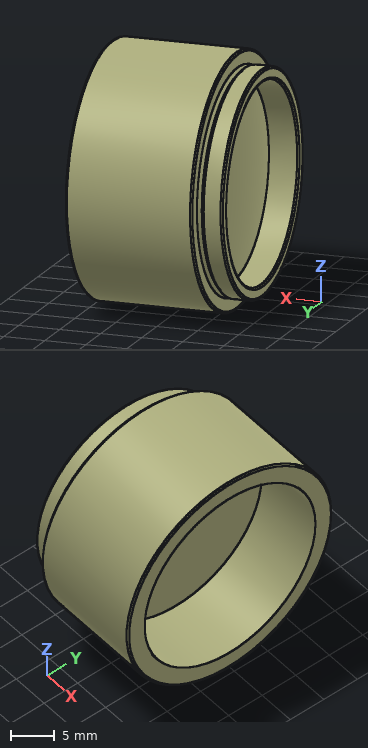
import cadquery as cq
import math

length = 18.5
body_radius = 15.25
neck_radius = 13.5
shoulder_x = 3.08
edge_chamfer = 0.2
bore_radius = 12.0

groove_start_x = 2.25
groove_bottom_radius = 13.05
groove_bottom_x = (groove_start_x + shoulder_x) / 2

lens_radius = 12.7
lens_thickness = 6.4
dome_radius = 60.95
seat_x = 3.65


def dome_depth(radius):
    """Distance along X from the dome's tip back to the given radius."""
    return dome_radius - math.sqrt(dome_radius**2 - radius**2)


def revolve_about_x(profile):
    return profile.revolve(360, (0, 0, 0), (1, 0, 0))


def make_housing():
    """Turned tube with a neck, a V groove, a front bore and a wider lens recess behind it."""
    c = edge_chamfer
    profile = (
        cq.Workplane("XY")
        .moveTo(0, bore_radius + c)
        .lineTo(0, neck_radius - c)
        .lineTo(c, neck_radius)
        .lineTo(groove_start_x, neck_radius)
        .lineTo(groove_bottom_x, groove_bottom_radius)
        .lineTo(shoulder_x, neck_radius)
        .lineTo(shoulder_x, body_radius - c)
        .lineTo(shoulder_x + c, body_radius)
        .lineTo(length - c, body_radius)
        .lineTo(length, body_radius - c)
        .lineTo(length, lens_radius)
        .lineTo(seat_x, lens_radius)
        .lineTo(seat_x, bore_radius)
        .lineTo(c, bore_radius)
        .close()
    )
    return revolve_about_x(profile)


def make_lens():
    """Plano-convex lens whose rim fits the recess and whose dome touches the bore edge."""
    tip_x = seat_x - dome_depth(bore_radius)
    back_x = tip_x + lens_thickness
    rim_x = tip_x + dome_depth(lens_radius)
    mid_radius = lens_radius / 2
    profile = (
        cq.Workplane("XY")
        .moveTo(tip_x, 0)
        .threePointArc((tip_x + dome_depth(mid_radius), mid_radius), (rim_x, lens_radius))
        .lineTo(back_x, lens_radius)
        .lineTo(back_x, 0)
        .close()
    )
    return revolve_about_x(profile)


housing = make_housing()
lens = make_lens()

result = cq.Compound.makeCompound([housing.val(), lens.val()])